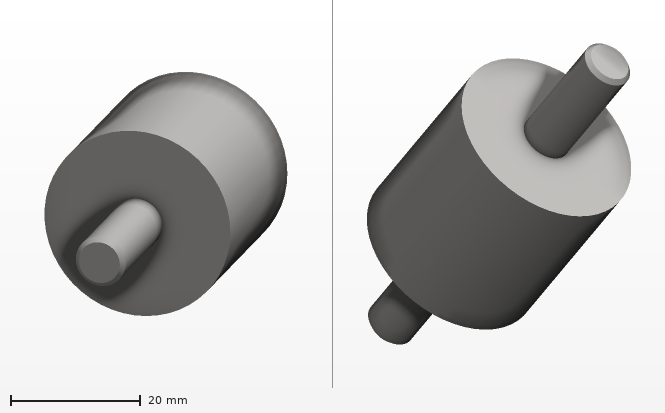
import cadquery as cq

rubber_diameter = 30.0
rubber_length = 30.0

rubber_rim = 2.0
plate_diameter = rubber_diameter - 2 * rubber_rim
plate_thickness = 2.0
stud_diameter = 8.0
stud_length = 20.0
stud_chamfer = 0.7

end_face = rubber_length / 2
plate_inner_face = end_face - plate_thickness
stud_tip = end_face + stud_length
sides = (-1, 1)


def cylinder_along_y(diameter, start, end):
    """Solid cylinder on the Y axis from y = start to y = end."""
    return (
        cq.Workplane("XZ", origin=(0, start, 0))
        .circle(diameter / 2)
        .extrude(start - end)
    )


def make_plate(side):
    """Round plate flush with one rubber end; side is -1 or +1 along Y."""
    return cylinder_along_y(plate_diameter, side * plate_inner_face, side * end_face)


def make_end_fitting(side):
    """Plate and chamfered stud in one piece; side is -1 or +1 along Y."""
    stud = cylinder_along_y(stud_diameter, side * end_face, side * stud_tip)
    tip_face = ">Y" if side > 0 else "<Y"
    stud = stud.faces(tip_face).chamfer(stud_chamfer)
    return make_plate(side).union(stud)


def make_rubber_body():
    """Rubber cylinder with a plate recess in each end."""
    body = cylinder_along_y(rubber_diameter, -end_face, end_face)
    for side in sides:
        body = body.cut(make_plate(side))
    return body


rubber_body = make_rubber_body()
end_fittings = [make_end_fitting(side) for side in sides]

result = cq.Compound.makeCompound(
    [
        rubber_body.solids().val(),
        *[fitting.solids().val() for fitting in end_fittings],
    ]
)